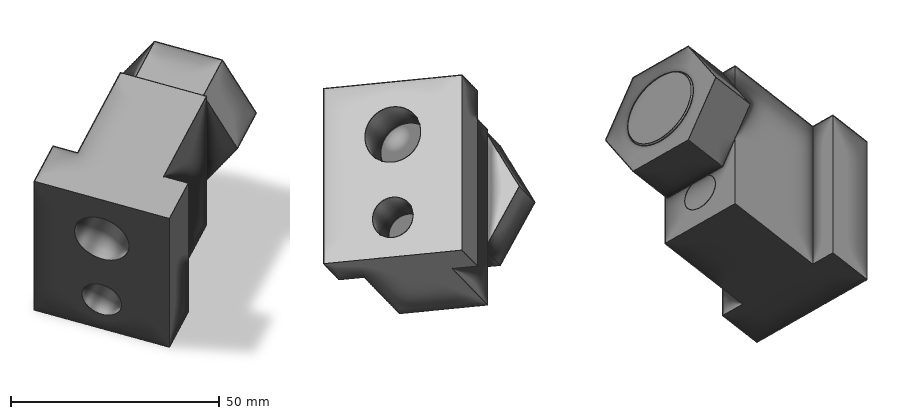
import cadquery as cq
import math

BLOCK_HEIGHT = 44.3
FLANGE_WIDTH = 34.75
FLANGE_DEPTH = 12.65
WEB_WIDTH = 22.1
TOTAL_LENGTH = 54.45

NUT_ACROSS_FLATS = 30.15
NUT_THICKNESS = 12.7
NUT_CORNER_DIAMETER = NUT_ACROSS_FLATS / math.cos(math.pi / 6)
OVERALL_WIDTH = 36.35
NUT_X = OVERALL_WIDTH - FLANGE_WIDTH / 2 - NUT_CORNER_DIAMETER / 2
NUT_Z = (BLOCK_HEIGHT - NUT_ACROSS_FLATS) / 2

FACE_DIAMETER = 20.7
FACE_HEIGHT = 0.45
FACE_CHAMFER = 0.3

BLOCK_LENGTH = TOTAL_LENGTH - NUT_THICKNESS - FACE_HEIGHT
WEB_LENGTH = BLOCK_LENGTH - FLANGE_DEPTH

UPPER_HOLE_Z = 8.8
UPPER_HOLE_DIAMETER = 14.0
UPPER_PIN_DIAMETER = 13.8
LOWER_HOLE_Z = -12.15
LOWER_HOLE_DIAMETER = 10.2
LOWER_PIN_DIAMETER = 9.7


def rod(diameter, length, front_y, x=0.0, z=0.0):
    """Cylinder running toward +Y from front_y."""
    plane = cq.Plane(origin=(x, front_y, z), xDir=(1, 0, 0), normal=(0, 1, 0))
    return cq.Workplane(plane).circle(diameter / 2).extrude(length)


def make_pin(diameter, z):
    return rod(diameter, WEB_LENGTH, FLANGE_DEPTH, z=z)


def make_block(pins):
    flange = cq.Workplane("XY").box(
        FLANGE_WIDTH, FLANGE_DEPTH, BLOCK_HEIGHT, centered=(True, False, True)
    )
    web = cq.Workplane("XY").box(
        WEB_WIDTH, BLOCK_LENGTH, BLOCK_HEIGHT, centered=(True, False, True)
    )
    block = flange.union(web)
    block = block.cut(rod(UPPER_HOLE_DIAMETER, FLANGE_DEPTH, 0, z=UPPER_HOLE_Z))
    block = block.cut(rod(LOWER_HOLE_DIAMETER, FLANGE_DEPTH, 0, z=LOWER_HOLE_Z))
    for pin in pins:
        block = block.cut(pin)
    return block


def make_nut():
    plane = cq.Plane(origin=(NUT_X, BLOCK_LENGTH, NUT_Z), xDir=(1, 0, 0), normal=(0, 1, 0))
    hexagon = cq.Workplane(plane).polygon(6, NUT_CORNER_DIAMETER).extrude(NUT_THICKNESS)
    face = rod(FACE_DIAMETER, FACE_HEIGHT, BLOCK_LENGTH + NUT_THICKNESS, NUT_X, NUT_Z)
    face = face.faces(">Y").chamfer(FACE_CHAMFER)
    return hexagon.union(face)


pins = [
    make_pin(diameter, z)
    for diameter, z in (
        (UPPER_PIN_DIAMETER, UPPER_HOLE_Z),
        (LOWER_PIN_DIAMETER, LOWER_HOLE_Z),
    )
]
block = make_block(pins)
nut = make_nut()

result = cq.Compound.makeCompound([block.val(), nut.val(), *[pin.val() for pin in pins]])